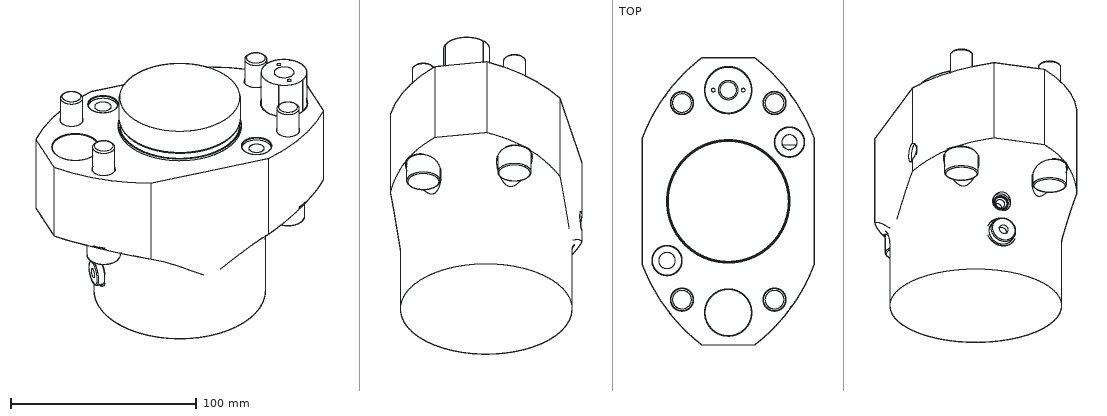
import cadquery as cq
import math

flange_length = 155.0
flange_width = 93.0
flange_bottom = 65.0
flange_thickness = 45.0
flange_top = flange_bottom + flange_thickness
side_arc_radius = 97.5
side_arc_offset = 45.0

base_radius = 46.3
base_straight_height = 38.8
flare_radius = flange_bottom - base_straight_height
base_chamfer_width = 6.7
base_chamfer_angle = 15.0

piston_radius = 32.9
piston_neck_radius = 32.4
piston_top = 128.0
piston_chamfer_width = 0.5
piston_chamfer_height = 1.9
piston_neck_top = 113.6
piston_step_height = 1.0
mouth_radius = 35.6
mouth_bottom_radius = 33.3
mouth_depth = 0.5
wiper_lip_radius = 33.0
wiper_lip_height = 0.5

bolt_x = 25.0
bolt_y = 53.0
bolt_diameter = 12.0
bolt_hole_diameter = 12.5
bolt_top = 125.1
bolt_tip_chamfer = 1.0
bolt_head_diameter = 18.0
bolt_head_height = 12.0
bolt_head_chamfer = 0.6
bolt_spotface_diameter = 19.2

rim_chamfer = 0.3

locator_y = 60.0
pin_diameter = 25.0
pin_relief_diameter = 24.6
pin_contact_width = 13.8
pin_top = 130.0
pin_bore_diameter = 8.8
pin_counterbore_diameter = 10.5
pin_counterbore_depth = 9.3
pin_bore_depth = 14.0
pin_eye_diameter = 2.0
pin_eye_x = 8.0
pin_eye_depth = 1.5
locator_hole_depth = 21.7

port_x = 33.0
port_y = 32.0
port_recess_diameter = 15.8
port_recess_depth = 1.5
left_port_diameter = 8.8
right_port_diameter = 8.0
cross_bore_z = 72.0
cross_bore_diameter = 10.0
cross_bore_length = 12.4
right_cross_bore_end_y = port_y - 1.5
side_plug_diameter = 10.0
side_plug_depth = 1.5

plug_z = 25.0
plug_diameter = 14.0
plug_chamfer = 0.6
plug_front = 49.9
plug_socket_diameter = 5.0
plug_socket_depth = 3.1
plug_seat_diameter = 16.1
plug_seat_distance = 45.7

vent_z = 43.0
vent_recess_diameter = 10.0
vent_recess_distance = 45.4
vent_step_diameter = 8.0
vent_step_depth = 0.8
vent_mouth_diameter = 6.8
vent_bore_diameter = 5.0
vent_bore_depth = 6.2

drill_tip_angle = 118.0


def upright_cylinder(x, y, z_bottom, z_top, diameter):
    return cq.Workplane("XY", origin=(x, y, z_bottom)).circle(diameter / 2).extrude(z_top - z_bottom)


def front_cylinder(z, y_inner, y_outer, diameter):
    """Cylinder along Y on the -Y side, between two distances from the main axis."""
    plane = cq.Workplane("XZ", origin=(0, -y_inner, z))
    return plane.circle(diameter / 2).extrude(y_outer - y_inner)


def drill(point, direction, diameter, depth):
    """Bore with a conical end, starting at a point and running along a direction."""
    radius = diameter / 2
    tip = radius / math.tan(math.radians(drill_tip_angle / 2))
    start = cq.Vector(*point)
    way = cq.Vector(*direction)
    shaft = cq.Solid.makeCylinder(radius, depth, start, way)
    cone = cq.Solid.makeCone(radius, 0, tip, start + way * depth, way)
    return cq.Workplane(shaft.fuse(cone))


def countersink(point, direction, mouth_diameter, bore_diameter):
    """45 degree countersink narrowing from a mouth to a bore."""
    depth = (mouth_diameter - bore_diameter) / 2
    cone = cq.Solid.makeCone(
        mouth_diameter / 2, bore_diameter / 2, depth, cq.Vector(*point), cq.Vector(*direction)
    )
    return cq.Workplane(cone)


def rim_cutter(x, y, hole_diameter):
    """Cone that chamfers the rim of a hole in the flange top."""
    return countersink(
        (x, y, flange_top), (0, 0, -1), hole_diameter + 2 * rim_chamfer, hole_diameter
    )


def outline_prism():
    """Flange outline, extruded over the full height of base and flange."""
    half_width = flange_width / 2
    half_length = flange_length / 2
    flat_y = math.sqrt(side_arc_radius**2 - (half_width + side_arc_offset) ** 2)
    end_x = math.sqrt(side_arc_radius**2 - half_length**2) - side_arc_offset
    mid_angle = (
        math.asin(flat_y / side_arc_radius) + math.asin(half_length / side_arc_radius)
    ) / 2
    mid_x = side_arc_radius * math.cos(mid_angle) - side_arc_offset
    mid_y = side_arc_radius * math.sin(mid_angle)
    return (
        cq.Workplane("XY")
        .moveTo(half_width, -flat_y)
        .lineTo(half_width, flat_y)
        .threePointArc((mid_x, mid_y), (end_x, half_length))
        .lineTo(-end_x, half_length)
        .threePointArc((-mid_x, mid_y), (-half_width, flat_y))
        .lineTo(-half_width, -flat_y)
        .threePointArc((-mid_x, -mid_y), (-end_x, -half_length))
        .lineTo(end_x, -half_length)
        .threePointArc((mid_x, -mid_y), (half_width, -flat_y))
        .close()
        .extrude(flange_top)
    )


def make_body():
    """Base, flare and flange as one turned shape, trimmed to the flange outline."""
    blank_radius = flange_length
    chamfer_height = base_chamfer_width * math.tan(math.radians(base_chamfer_angle))
    flare_end = base_radius + flare_radius
    flare_mid_radius = flare_end - flare_radius * math.cos(math.pi / 4)
    flare_mid_z = base_straight_height + flare_radius * math.sin(math.pi / 4)
    turned = (
        cq.Workplane("XZ")
        .lineTo(base_radius - base_chamfer_width, 0)
        .lineTo(base_radius, chamfer_height)
        .lineTo(base_radius, base_straight_height)
        .threePointArc((flare_mid_radius, flare_mid_z), (flare_end, flange_bottom))
        .lineTo(blank_radius, flange_bottom)
        .lineTo(blank_radius, flange_top)
        .lineTo(0, flange_top)
        .close()
        .revolve(360, (0, 0), (0, 1))
    )
    return turned.intersect(outline_prism())


def cut_piston_mouth(body):
    """Shallow conical mouth in the flange top, around the piston."""
    mouth = cq.Solid.makeCone(
        mouth_bottom_radius, mouth_radius, mouth_depth, cq.Vector(0, 0, flange_top - mouth_depth)
    )
    return body.cut(cq.Workplane(mouth))


def make_piston():
    """Stepped piston with the wiper lip at its foot."""
    foot_z = flange_top - mouth_depth
    lip_z = flange_top + wiper_lip_height
    return (
        cq.Workplane("XZ")
        .moveTo(0, foot_z)
        .lineTo(mouth_bottom_radius, foot_z)
        .lineTo(wiper_lip_radius, lip_z)
        .lineTo(piston_neck_radius, lip_z)
        .lineTo(piston_neck_radius, piston_neck_top)
        .lineTo(piston_radius, piston_neck_top + piston_step_height)
        .lineTo(piston_radius, piston_top - piston_chamfer_height)
        .lineTo(piston_radius - piston_chamfer_width, piston_top)
        .lineTo(0, piston_top)
        .close()
        .revolve(360, (0, 0), (0, 1))
    )


def add_bolt(body, x, y):
    head_bottom = flange_bottom - bolt_head_height
    spotface = upright_cylinder(x, y, base_straight_height, flange_bottom, bolt_spotface_diameter)
    hole = upright_cylinder(x, y, flange_bottom, flange_top, bolt_hole_diameter)
    head = upright_cylinder(x, y, head_bottom, flange_bottom, bolt_head_diameter)
    shank = upright_cylinder(x, y, flange_bottom, bolt_top, bolt_diameter)
    head = head.faces("<Z").chamfer(bolt_head_chamfer)
    shank = shank.faces(">Z").chamfer(bolt_tip_chamfer)
    return body.cut(spotface).cut(hole).union(head.union(shank))


def add_locating_pin(body):
    """Pin touching its mating bore only on its two X sides, with a bore and two small eyes."""
    foot_z = flange_top - rim_chamfer
    core = upright_cylinder(0, locator_y, foot_z, pin_top, pin_relief_diameter)
    contact = upright_cylinder(0, locator_y, foot_z, pin_top, pin_diameter)
    contact_band = (
        cq.Workplane("XY", origin=(0, locator_y, foot_z))
        .rect(2 * pin_diameter, pin_contact_width)
        .extrude(pin_top - foot_z)
    )
    pin = core.union(contact.intersect(contact_band))
    top_center = (0, locator_y, pin_top)
    pin = pin.cut(drill(top_center, (0, 0, -1), pin_bore_diameter, pin_bore_depth))
    counterbore_bottom = pin_top - pin_counterbore_depth
    counterbore = upright_cylinder(0, locator_y, counterbore_bottom, pin_top, pin_counterbore_diameter)
    pin = pin.cut(counterbore)
    for x in (-pin_eye_x, pin_eye_x):
        pin = pin.cut(drill((x, locator_y, pin_top), (0, 0, -1), pin_eye_diameter, pin_eye_depth))
    return body.cut(rim_cutter(0, locator_y, pin_diameter)).union(pin)


def cut_locating_hole(body):
    hole = drill((0, -locator_y, flange_top), (0, 0, -1), pin_diameter, locator_hole_depth)
    return body.cut(hole).cut(rim_cutter(0, -locator_y, pin_diameter))


def cut_port(body, x, y, diameter):
    recess_bottom = flange_top - port_recess_depth
    recess = upright_cylinder(x, y, recess_bottom, flange_top, port_recess_diameter)
    bore = upright_cylinder(x, y, cross_bore_z, recess_bottom, diameter)
    return body.cut(recess).cut(rim_cutter(x, y, port_recess_diameter)).cut(bore)


def cut_left_port(body):
    """Port near the -X side; its cross bore runs along X behind a recessed side plug."""
    bore_start = -port_x - cross_bore_length / 2
    cross_bore = drill(
        (bore_start, -port_y, cross_bore_z), (1, 0, 0), cross_bore_diameter, cross_bore_length
    )
    side_x = -flange_width / 2
    recess = (
        cq.Workplane("YZ", origin=(side_x, -port_y, cross_bore_z))
        .circle(side_plug_diameter / 2)
        .extrude(side_plug_depth)
    )
    return cut_port(body, -port_x, -port_y, left_port_diameter).cut(cross_bore).cut(recess)


def cut_right_port(body):
    """Port near the +X side; its cross bore runs along Y and ends under the port."""
    bore_start = right_cross_bore_end_y + cross_bore_length
    cross_bore = drill(
        (port_x, bore_start, cross_bore_z), (0, -1, 0), cross_bore_diameter, cross_bore_length
    )
    return cut_port(body, port_x, port_y, right_port_diameter).cut(cross_bore)


def add_screw_plug(body):
    seat = front_cylinder(plug_z, plug_seat_distance, base_radius, plug_seat_diameter)
    plug = front_cylinder(plug_z, plug_seat_distance, plug_front, plug_diameter)
    plug = plug.faces("<Y").chamfer(plug_chamfer)
    socket = front_cylinder(
        plug_z, plug_front - plug_socket_depth, plug_front, plug_socket_diameter
    )
    return body.cut(seat).union(plug.cut(socket))


def cut_vent(body):
    """Stepped hole through the flare, countersunk at its drilled bore."""
    flare_reach = base_radius + flare_radius
    step_distance = vent_recess_distance - vent_step_depth
    recess = front_cylinder(vent_z, vent_recess_distance, flare_reach, vent_recess_diameter)
    step = front_cylinder(vent_z, step_distance, vent_recess_distance, vent_step_diameter)
    bore_mouth = (0, -step_distance, vent_z)
    sink = countersink(bore_mouth, (0, 1, 0), vent_mouth_diameter, vent_bore_diameter)
    bore = drill(bore_mouth, (0, 1, 0), vent_bore_diameter, vent_bore_depth)
    return body.cut(recess).cut(step).cut(sink).cut(bore)


result = make_body()
result = cut_piston_mouth(result).union(make_piston())
for x in (-bolt_x, bolt_x):
    for y in (-bolt_y, bolt_y):
        result = add_bolt(result, x, y)
result = add_locating_pin(result)
result = cut_locating_hole(result)
result = cut_left_port(result)
result = cut_right_port(result)
result = add_screw_plug(result)
result = cut_vent(result)